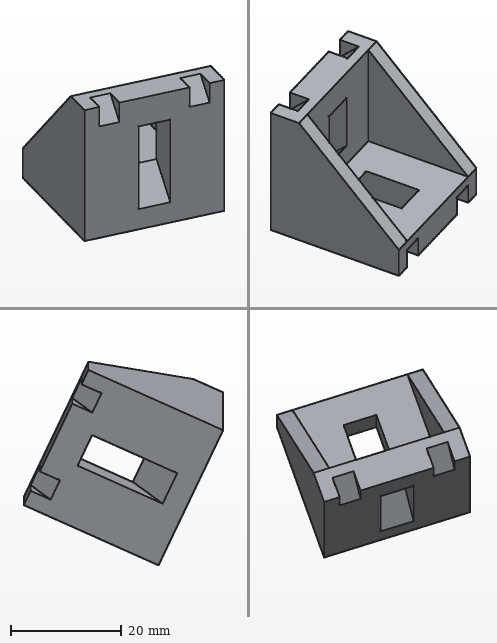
import cadquery as cq

width = 28.0
leg = 27.0

plate_thickness = 6.0
wall_thickness = 3.0

slot_length = 11.03
slot_width = 6.3
slot_end_gap = 5.77

notch_size = 4.0
notch_offset = 9.02


def extrude_profile(points, length, y_center=0):
    """Extrude an XZ outline along Y, centred on y_center."""
    profile = cq.Workplane("XZ").polyline(points).close().extrude(length / 2, both=True)
    return profile.translate((0, y_center, 0))


def bracket_body():
    """Two square plates joined by a sloped side wall at each end."""
    slope_top = leg - plate_thickness
    outer = extrude_profile(
        [(0, 0), (leg, 0), (leg, leg), (slope_top, leg), (0, plate_thickness)], width
    )
    pocket = extrude_profile(
        [(0, plate_thickness), (slope_top, plate_thickness), (slope_top, leg), (0, leg)],
        width - 2 * wall_thickness,
    )
    return outer.cut(pocket)


def cut_slots(body):
    """Cut one slot through each plate, its corner end flaring outward at 45 degrees."""
    slot_end = slot_end_gap + slot_length
    floor_slot = [
        (slot_end_gap, 0),
        (slot_end + plate_thickness, 0),
        (slot_end, plate_thickness),
        (slot_end_gap, plate_thickness),
    ]
    upright_slot = [(leg - z, leg - x) for x, z in floor_slot]
    for outline in (floor_slot, upright_slot):
        body = body.cut(extrude_profile(outline, slot_width))
    return body


def cut_notches(body):
    """Cut a pair of 45 degree notches at the end of each plate."""
    floor_notch = [(0, 0), (notch_size, 0), (0, notch_size)]
    upright_notch = [(leg, leg), (leg - notch_size, leg), (leg, leg - notch_size)]
    for y_center in (-notch_offset, notch_offset):
        for outline in (floor_notch, upright_notch):
            body = body.cut(extrude_profile(outline, notch_size, y_center))
    return body


result = cut_notches(cut_slots(bracket_body()))